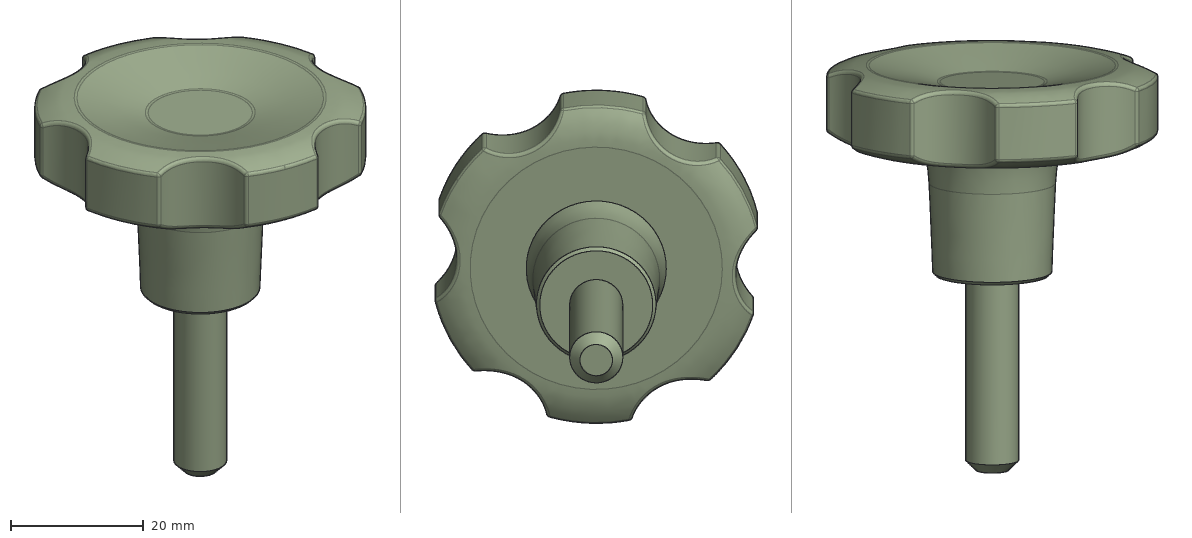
import cadquery as cq
import math

total_height = 62.0
head_radius = 24.9
head_height = 12.0

flat_radius = 19.0
top_drop = 1.4
bottom_rise = 1.9

scallop_count = 6
scallop_radius = 8.5
scallop_floor = 21.0
edge_fillet = 0.6

dish_floor_radius = 8.05
dish_slope = math.radians(13.3)
dish_blend_radius = 1.85

hub_height = 20.0
hub_top_radius = 10.55
flare_height = 5.95
flare_end_radius = 9.55
hub_end_radius = 9.0
hub_chamfer = 0.5

stud_radius = 8.0 / 2
stud_chamfer = 1.55

head_top = total_height
head_bottom = head_top - head_height
flare_end = head_bottom - flare_height
hub_bottom = head_bottom - hub_height

blend_setback = dish_blend_radius * math.tan(dish_slope / 2)
blend_run = blend_setback * math.cos(dish_slope)
blend_rise = blend_setback * math.sin(dish_slope)
dish_radius = flat_radius - blend_setback
dish_floor = head_top - (dish_radius - dish_floor_radius) * math.tan(dish_slope)


def crown_midpoint(drop):
    """Radius and drop halfway along an arc that leaves the flat face tangentially."""
    run = head_radius - flat_radius
    arc_radius = (run**2 + drop**2) / (2 * drop)
    half_angle = math.asin(run / arc_radius) / 2
    return flat_radius + arc_radius * math.sin(half_angle), arc_radius * (1 - math.cos(half_angle))


def make_head():
    top_mid_radius, top_mid_drop = crown_midpoint(top_drop)
    bottom_mid_radius, bottom_mid_rise = crown_midpoint(bottom_rise)
    head = (
        cq.Workplane("XZ")
        .moveTo(0, dish_floor)
        .lineTo(0, head_bottom)
        .lineTo(flat_radius, head_bottom)
        .threePointArc((bottom_mid_radius, head_bottom + bottom_mid_rise),
                       (head_radius, head_bottom + bottom_rise))
        .lineTo(head_radius, head_top - top_drop)
        .threePointArc((top_mid_radius, head_top - top_mid_drop), (flat_radius, head_top))
        .tangentArcPoint((dish_radius - blend_run, head_top - blend_rise), relative=False)
        .lineTo(dish_floor_radius + blend_run, dish_floor + blend_rise)
        .tangentArcPoint((dish_floor_radius - blend_setback, dish_floor), relative=False)
        .close()
        .revolve(360, (0, 0), (0, 1))
    )
    scallops = (
        cq.Workplane("XY", origin=(0, 0, head_bottom))
        .polarArray(scallop_floor + scallop_radius, 90, 360, scallop_count)
        .circle(scallop_radius)
        .extrude(head_height)
    )
    head = head.cut(scallops)
    rim_edges = head.edges().filter(
        lambda edge: math.hypot(edge.Center().x, edge.Center().y) > flat_radius
    )
    return rim_edges.fillet(edge_fillet)


def make_hub():
    return (
        cq.Workplane("XZ")
        .moveTo(0, hub_bottom)
        .lineTo(hub_end_radius - hub_chamfer, hub_bottom)
        .lineTo(hub_end_radius, hub_bottom + hub_chamfer)
        .lineTo(flare_end_radius, flare_end)
        .tangentArcPoint((hub_top_radius, head_bottom), relative=False)
        .lineTo(0, head_bottom)
        .close()
        .revolve(360, (0, 0), (0, 1))
    )


def make_stud():
    return (
        cq.Workplane("XY")
        .circle(stud_radius)
        .extrude(hub_bottom)
        .faces("<Z")
        .chamfer(stud_chamfer)
    )


result = make_head().union(make_hub()).union(make_stud())